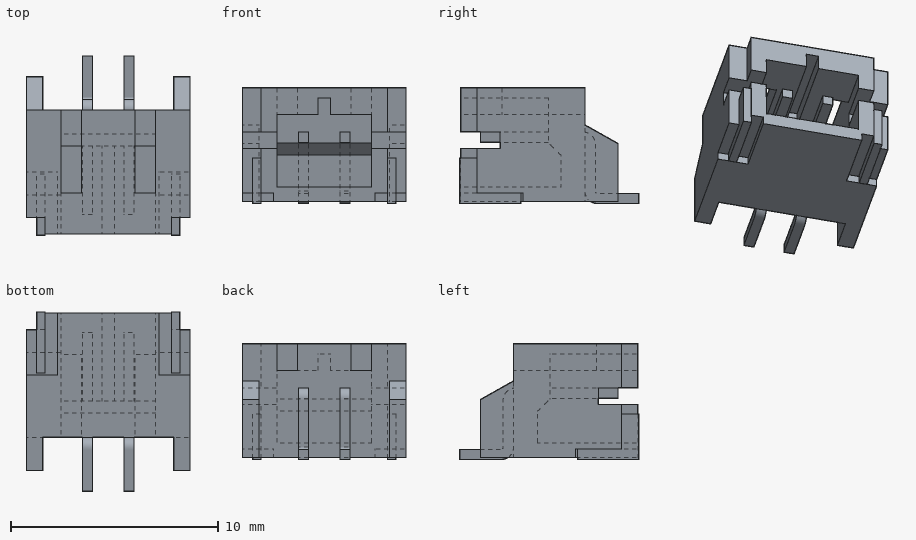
import cadquery as cq


body_width = 7.9
body_depth = 6.0
body_height = 5.5
corner_step_width = 0.9
corner_step_depth = 0.8

lug_width = 0.8
lug_back = 7.6
lug_top_front = 3.7
lug_top_back = 2.8

cavity_width = 4.58
cavity_floor = 0.7
cavity_ceiling = 4.2
cavity_upper_back = 4.25
cavity_slope_top = 2.82
cavity_slope_bottom = 2.24
cavity_lower_back = cavity_upper_back + cavity_slope_top - cavity_slope_bottom
key_width = 0.6
key_top = 5.0

roof_slot_width = 1.0
roof_slot_front = 2.0
side_slot_depth = 1.9
side_slot_bottom = 2.57

pin_pitch = 2.0
pin_size = 0.5
pin_front = 0.95
pin_back = 8.6
pin_top = 3.36
solder_face = -0.1
bend_inner_radius = 0.1

tab_thickness = 0.4
tab_front = -0.05
tab_top = 2.1
tab_foot_back = 2.9
relief_width = 1.5
relief_depth = 3.0
relief_height = 0.42

half_width = body_width / 2
sides = (-1, 1)


def box(x_range, y_range, z_range):
    """Box spanning the given (low, high) ranges."""
    (x0, x1), (y0, y1), (z0, z1) = x_range, y_range, z_range
    return cq.Workplane("XY").box(x1 - x0, y1 - y0, z1 - z0, centered=False).translate((x0, y0, z0))


def side_box(side, inner_x, outer_x, y_range, z_range):
    """Box on the left (-1) or right (+1), between two distances from the centre plane."""
    x_range = sorted((side * inner_x, side * outer_x))
    return box(x_range, y_range, z_range)


def side_profile(points, center_x, width):
    """Prism of a closed (Y, Z) outline, centred on center_x."""
    outline = cq.Workplane("YZ", origin=(center_x, 0, 0)).polyline(points).close()
    return outline.extrude(width / 2, both=True)


def make_lug(side):
    points = [
        (body_depth, 0),
        (lug_back, 0),
        (lug_back, lug_top_back),
        (body_depth, lug_top_front),
    ]
    return side_profile(points, side * (half_width - lug_width / 2), lug_width)


def make_cavity():
    points = [
        (0, cavity_floor),
        (cavity_lower_back, cavity_floor),
        (cavity_lower_back, cavity_slope_bottom),
        (cavity_upper_back, cavity_slope_top),
        (cavity_upper_back, cavity_ceiling),
        (0, cavity_ceiling),
    ]
    key_x = (-key_width / 2, key_width / 2)
    key = box(key_x, (0, cavity_upper_back), (cavity_ceiling, key_top))
    return side_profile(points, 0, cavity_width).union(key)


def make_housing():
    housing = box((-half_width, half_width), (0, body_depth), (0, body_height))
    for side in sides:
        housing = housing.union(make_lug(side))
    housing = housing.cut(make_cavity())

    cavity_side = cavity_width / 2
    for side in sides:
        corner_step = side_box(
            side, half_width - corner_step_width, half_width, (0, corner_step_depth), (0, body_height)
        )
        roof_slot = side_box(
            side,
            cavity_side - roof_slot_width,
            cavity_side,
            (roof_slot_front, body_depth),
            (cavity_ceiling, body_height),
        )
        side_slot = side_box(side, cavity_side, half_width, (0, side_slot_depth), (side_slot_bottom, pin_top))
        relief = side_box(side, half_width - relief_width, half_width, (0, relief_depth), (0, relief_height))
        housing = housing.cut(corner_step).cut(roof_slot).cut(side_slot).cut(relief)
    return housing


def make_pin(center_x):
    """S-shaped contact: straight through the back wall, down behind it, then out to a solder foot."""
    bend_outer_radius = bend_inner_radius + pin_size
    pin_bottom = pin_top - pin_size
    foot_top = solder_face + pin_size
    leg_back = body_depth + pin_size
    upper_bend_y = body_depth - bend_inner_radius
    upper_bend_z = pin_bottom - bend_inner_radius
    lower_bend_y = leg_back + bend_inner_radius
    lower_bend_z = foot_top + bend_inner_radius

    profile = (
        cq.Workplane("YZ", origin=(center_x, 0, 0))
        .moveTo(pin_front, pin_top)
        .lineTo(upper_bend_y, pin_top)
        .radiusArc((leg_back, upper_bend_z), bend_outer_radius)
        .lineTo(leg_back, lower_bend_z)
        .radiusArc((lower_bend_y, foot_top), -bend_inner_radius)
        .lineTo(pin_back, foot_top)
        .lineTo(pin_back, solder_face)
        .lineTo(lower_bend_y, solder_face)
        .radiusArc((body_depth, lower_bend_z), bend_outer_radius)
        .lineTo(body_depth, upper_bend_z)
        .radiusArc((upper_bend_y, pin_bottom), -bend_inner_radius)
        .lineTo(pin_front, pin_bottom)
        .close()
    )
    return profile.extrude(pin_size / 2, both=True)


def make_solder_tab(side):
    """L-shaped plate: upright in the corner step, with a foot running back under the relief."""
    points = [
        (tab_front, solder_face),
        (tab_foot_back, solder_face),
        (tab_foot_back, relief_height),
        (corner_step_depth, relief_height),
        (corner_step_depth, tab_top),
        (tab_front, tab_top),
    ]
    center_x = side * (half_width - corner_step_width + tab_thickness / 2)
    return side_profile(points, center_x, tab_thickness)


result = make_housing()
for side in sides:
    result = result.union(make_pin(side * pin_pitch / 2))
    result = result.union(make_solder_tab(side))